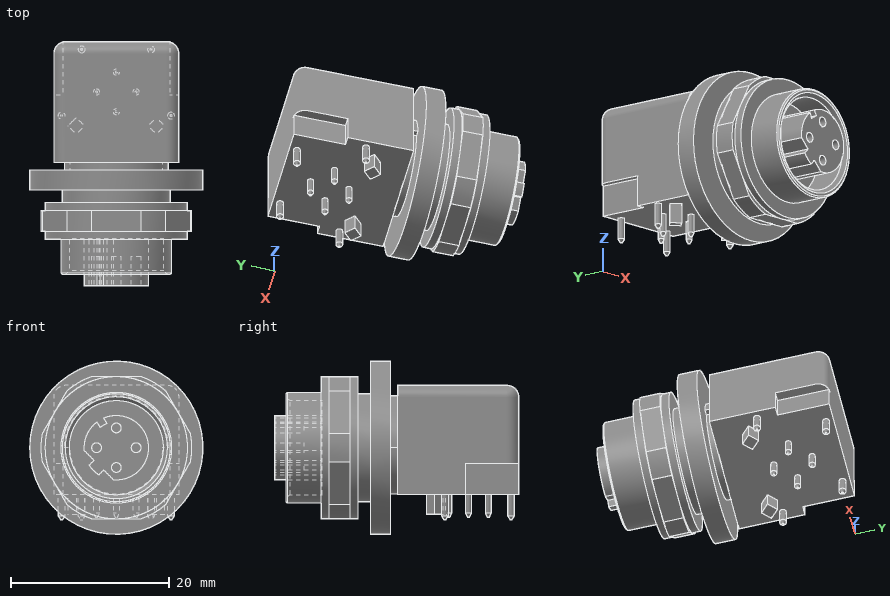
import cadquery as cq
import math


shell_front = 1.42
nut_front = 5.85
hex_front = 6.88
hex_back = 9.5
nut_back = 10.55
flange_front = 12.1
flange_back = 14.65
housing_front = 15.55
rear_foot_front = 24.12
housing_back = 30.85

flange_diameter = 21.9
neck_upper_diameter = 13.15
neck_lower_diameter = 11.72
shank_diameter = 13.7
nut_collar_diameter = 18.0
hex_across_flats = nut_collar_diameter
hex_corner_diameter = 19.03
shell_diameter = 14.0
shell_chamfer = 0.2
bore_diameter = 11.9
bore_mouth_diameter = 12.9
mouth_depth = 0.5
cavity_floor = 6.0

insert_diameter = 8.15
key_direction = 225
key_width = 1.73
key_flat_distance = 3.12
slot_direction = 120
slot_width = 1.0
slot_floor_distance = 3.27
contact_pitch_radius = 2.5
contact_hole_diameter = 1.23
contact_hole_depth = 3.7

housing_half_width = 7.9
housing_top = housing_half_width
housing_bottom = -5.92
housing_fillet = 1.5
foot_top = -2.0
foot_inset = 1.15

contact_pin_diameter = 0.77
contact_pin_length = 2.87
contact_pin_tip = 0.52
contact_pin_centre_y = 24.5
shield_pin_diameter = 0.85
shield_pin_length = 3.18
shield_pin_tip = 0.5
shield_pins_front = (6.9, 21.5)
shield_pins_rear = (4.38, 29.85)
pin_point_diameter = 0.25
post_x = 5.05
post_y = 20.2
post_diagonal = 2.1
post_length = 2.5


def section_plane(y):
    """Plane across the plug axis at y, with its normal toward +Y."""
    return cq.Workplane(cq.Plane(origin=(0, y, 0), xDir=(-1, 0, 0), normal=(0, 1, 0)))


def disc(diameter, y_front, y_back):
    return section_plane(y_front).circle(diameter / 2).extrude(y_back - y_front)


def box(half_width, y_front, y_back, z_low, z_high):
    return cq.Workplane("XY").box(
        2 * half_width, y_back - y_front, z_high - z_low, centered=(True, False, False)
    ).translate((0, y_front, z_low))


def radial_box(direction, r_inner, r_outer, width):
    """Box along the insert, reaching between two radii at an angle from +X toward +Z."""
    block = cq.Workplane("XY").box(
        r_outer - r_inner, cavity_floor, width, centered=(False, False, True)
    )
    block = block.translate((r_inner, 0, 0))
    return block.rotate((0, 0, 0), (0, 1, 0), -direction)


def make_housing():
    hood = box(housing_half_width, housing_front, housing_back, foot_top, housing_top)
    hood = hood.edges("(|Z and >Y) or (|X and >Y and >Z) or (|Y and >Z)").fillet(housing_fillet)
    front_foot = box(housing_half_width, housing_front, rear_foot_front, housing_bottom, foot_top)
    rear_foot = box(
        housing_half_width - foot_inset, rear_foot_front, housing_back, housing_bottom, foot_top
    )
    return hood.union(front_foot).union(rear_foot)


def make_neck():
    """Two half discs meeting at Z = 0, the lower one smaller."""
    lower = disc(neck_lower_diameter, flange_back, housing_front)
    upper = disc(neck_upper_diameter, flange_back, housing_front).intersect(
        box(neck_upper_diameter, flange_back, housing_front, 0, neck_upper_diameter)
    )
    return lower.union(upper)


def make_nut():
    hexagon = section_plane(hex_front).polygon(6, hex_across_flats / math.cos(math.pi / 6))
    hexagon = hexagon.extrude(hex_back - hex_front)
    hexagon = hexagon.intersect(disc(hex_corner_diameter, hex_front, hex_back))
    return disc(nut_collar_diameter, nut_front, nut_back).union(hexagon)


def make_shell():
    shell = disc(shell_diameter, shell_front, nut_front)
    return shell.faces("<Y").edges().chamfer(shell_chamfer)


def make_cavity():
    """Straight bore with a tapered mouth."""
    mouth_radius = bore_mouth_diameter / 2
    bore_radius = bore_diameter / 2
    half_profile = [
        (0, shell_front),
        (mouth_radius, shell_front),
        (bore_radius, shell_front + mouth_depth),
        (bore_radius, cavity_floor),
        (0, cavity_floor),
    ]
    return cq.Workplane("XY").polyline(half_profile).close().revolve(360, (0, 0, 0), (0, 1, 0))


def make_insert():
    insert = disc(insert_diameter, 0, cavity_floor)
    relief = radial_box(key_direction, key_flat_distance, insert_diameter, 2 * insert_diameter)
    relief = relief.cut(radial_box(key_direction, 0, 2 * insert_diameter, key_width))
    slot = radial_box(slot_direction, slot_floor_distance, insert_diameter, slot_width)
    holes = section_plane(0).polarArray(contact_pitch_radius, 0, 360, 4)
    holes = holes.circle(contact_hole_diameter / 2).extrude(contact_hole_depth)
    return insert.cut(relief).cut(slot).cut(holes)


def make_pin(x, y, diameter, length, tip_length):
    """Round pin hanging from the housing floor, with a blunt conical tip."""
    radius = diameter / 2
    half_profile = [
        (0, 0),
        (radius, 0),
        (radius, tip_length - length),
        (pin_point_diameter / 2, -length),
        (0, -length),
    ]
    pin = cq.Workplane("XZ").polyline(half_profile).close().revolve(360, (0, 0, 0), (0, 1, 0))
    return pin.translate((x, y, housing_bottom))


def make_post(x):
    """Square post turned corner-on."""
    post = cq.Workplane("XY", origin=(x, post_y, housing_bottom)).polygon(4, post_diagonal)
    return post.extrude(-post_length)


result = (
    make_housing()
    .union(make_neck())
    .union(disc(flange_diameter, flange_front, flange_back))
    .union(disc(shank_diameter, nut_back, flange_front))
    .union(make_nut())
    .union(make_shell())
    .cut(make_cavity())
    .union(make_insert())
)

for quarter in range(4):
    angle = quarter * math.pi / 2
    result = result.union(make_pin(
        contact_pitch_radius * math.cos(angle),
        contact_pin_centre_y + contact_pitch_radius * math.sin(angle),
        contact_pin_diameter, contact_pin_length, contact_pin_tip,
    ))

for side in (-1, 1):
    for pin_x, pin_y in (shield_pins_front, shield_pins_rear):
        result = result.union(make_pin(
            side * pin_x, pin_y, shield_pin_diameter, shield_pin_length, shield_pin_tip
        ))
    result = result.union(make_post(side * post_x))